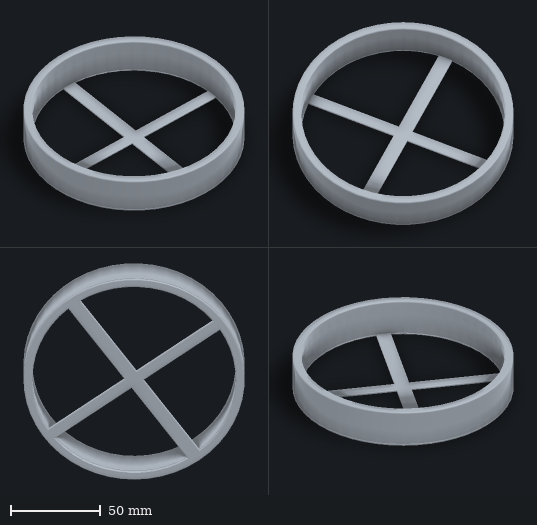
import cadquery as cq

outer_diameter = 123.0
inner_diameter = 113.0
height = 22.0

wall_edge_radius = 1.0

plate_thickness = 1.5
plate_edge_radius = 0.7
x_bar_width = 8.5
y_bar_width = 7.0


def make_bar(size_x, size_y):
    """Flat bar centred on the ring axis, as thick as the plate."""
    return cq.Workplane("XY").rect(size_x, size_y).extrude(plate_thickness)


def make_plate():
    """Round plate with four windows that leave a cross, rounded along its top and bottom edges."""
    disc = cq.Workplane("XY").circle(outer_diameter / 2).extrude(plate_thickness)
    opening = cq.Workplane("XY").circle(inner_diameter / 2).extrude(plate_thickness)
    x_bar = make_bar(inner_diameter, x_bar_width)
    y_bar = make_bar(y_bar_width, inner_diameter)
    windows = opening.cut(x_bar).cut(y_bar)
    return disc.cut(windows).faces("<Z or >Z").edges().fillet(plate_edge_radius)


def make_wall():
    """Ring wall standing on the plate rim, rounded along its two top edges."""
    wall = (
        cq.Workplane("XY", origin=(0, 0, plate_thickness))
        .circle(outer_diameter / 2)
        .circle(inner_diameter / 2)
        .extrude(height - plate_thickness)
    )
    return wall.faces(">Z").edges().fillet(wall_edge_radius)


result = make_plate().union(make_wall())